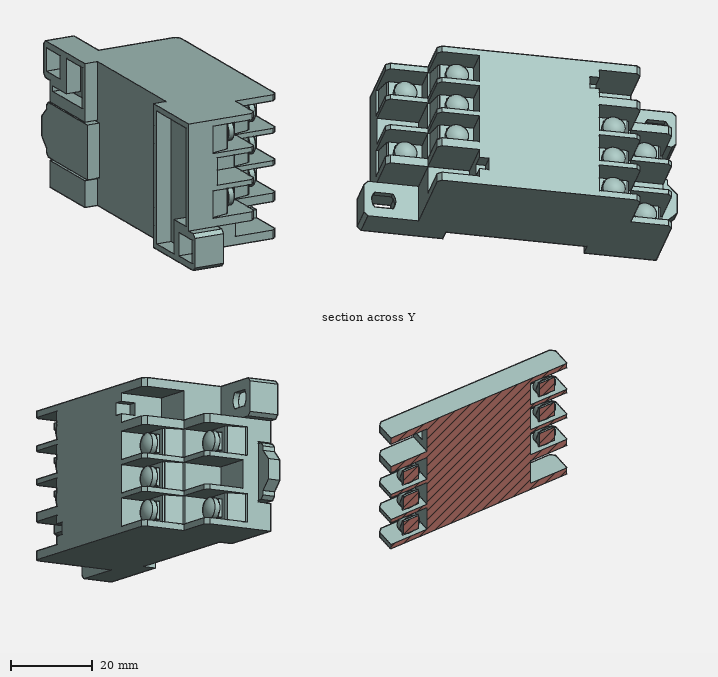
import cadquery as cq


LENGTH = 79.2
HEIGHT = 30.0
WIDTH = 37.0

TIER_STEP = 11.5
TIER_DEPTH = 10.4
LOW_TOP = HEIGHT - TIER_STEP
EAR_REACH = 3.25
LOW_LEFT = 4.5
LOW_RIGHT = LENGTH - EAR_REACH
HIGH_LEFT = LOW_LEFT + TIER_DEPTH
HIGH_RIGHT = LOW_RIGHT - TIER_DEPTH
TIER_CHAMFER = 1.0

RAIL_LEFT = 22.6
RAIL_RIGHT = 57.8
RAIL_DEPTH = 3.5

EAR_HEIGHT = 7.9
EAR_WIDTH = 9.5
EAR_CHAMFER = 0.95
LEFT_EAR_TIP = LOW_LEFT - EAR_REACH
LEFT_EAR_BOTTOM = WIDTH - EAR_WIDTH
EAR_POCKET_LENGTH = 6.9
EAR_POCKET_WIDTH = 6.0
EAR_POCKET_DEPTH = 6.3
EAR_POCKET_OFFSET = 4.9
EAR_POCKET_EDGE = 4.7
HOLE_LENGTH = 6.0
HOLE_FLAT_WIDTH = 4.0

HOLLOW_DEPTH = 3.95
WALL = 1.4

LATCH_GAP = 0.5
LATCH_BOTTOM = 7.4
LATCH_TOP = 21.5
LATCH_END = 23.5
LATCH_FACE = 0.15
LATCH_NOSE_BACK = 2.45
LATCH_NOSE_HALF = 2.5
LATCH_NOSE_SLOPE = 2.45
LATCH_CHAMFER = 0.95

HOOK_REACH = 1.9
HOOK_TOP = 1.9
HOOK_TIP = 1.0
HOOK_WIDTH = 4.6
HOOK_BOTTOMS = (5.7, 26.7)

BAY_WIDTH = 7.05
BAY_PITCH = 8.3
BAY_BOTTOM = 1.6
BAY_DROP = 11.8
SILL_RISE = 0.2
RAMP_FOOT = 0.55
RAMP_HEAD = 1.6
PLATE_SETBACK = 2.0
PLATE_TOP_DROP = 6.65
PLATE_THICKNESS = 0.5

BAY_BOTTOMS = [BAY_BOTTOM + BAY_PITCH * i for i in range(3)]
MIDDLE_BAY_BOTTOM = BAY_BOTTOMS[1]
TERMINALS = [(HIGH_LEFT, HEIGHT, z) for z in BAY_BOTTOMS]
TERMINALS += [(LOW_LEFT, LOW_TOP, z) for z in BAY_BOTTOMS if z != MIDDLE_BAY_BOTTOM]

SCREW_SETBACK = 5.8
NECK_SIDE = 4.5
NECK_HEIGHT = 0.9
HEAD_DIAMETER = 5.6
HEAD_RIM = 1.4
DOME_HEIGHT = 1.1

BLANK_BOTTOM = LEFT_EAR_BOTTOM
BLANK_TOP = 34.8
NOTCH_BOTTOM = 29.6
NOTCH_WIDTH = 3.1
NOTCH_DROP = 3.9
NOTCH_DEPTH = 2.4


def block(x0, x1, y0, y1, z0, z1):
    """Box between two opposite corners."""
    return cq.Workplane("XY").box(x1 - x0, y1 - y0, z1 - z0, centered=False).translate((x0, y0, z0))


def prism_along_y(points, y0, y1):
    """Extrude an outline given in (x, z) from y0 to y1."""
    return cq.Workplane("XZ", origin=(0, y0, 0)).polyline(points).close().extrude(y0 - y1)


def prism_along_z(points, z0, z1):
    """Extrude an outline given in (x, y) from z0 to z1."""
    return cq.Workplane("XY", origin=(0, 0, z0)).polyline(points).close().extrude(z1 - z0)


def body():
    """Two-tier block with the rail channel."""
    c = TIER_CHAMFER
    outline = [
        (LOW_LEFT, 0),
        (LOW_LEFT, LOW_TOP - c),
        (LOW_LEFT + c, LOW_TOP),
        (HIGH_LEFT, LOW_TOP),
        (HIGH_LEFT, HEIGHT - c),
        (HIGH_LEFT + c, HEIGHT),
        (HIGH_RIGHT - c, HEIGHT),
        (HIGH_RIGHT, HEIGHT - c),
        (HIGH_RIGHT, LOW_TOP),
        (LOW_RIGHT - c, LOW_TOP),
        (LOW_RIGHT, LOW_TOP - c),
        (LOW_RIGHT, 0),
        (RAIL_RIGHT, 0),
        (RAIL_RIGHT, RAIL_DEPTH),
        (RAIL_LEFT, RAIL_DEPTH),
        (RAIL_LEFT, 0),
    ]
    return prism_along_z(outline, 0, WIDTH)


def ear(tip, root, z0):
    """Mounting ear with its two tip corners chamfered."""
    c = EAR_CHAMFER if tip > root else -EAR_CHAMFER
    z1 = z0 + EAR_WIDTH
    outline = [
        (root, z0),
        (tip - c, z0),
        (tip, z0 + EAR_CHAMFER),
        (tip, z1 - EAR_CHAMFER),
        (tip - c, z1),
        (root, z1),
    ]
    return prism_along_y(outline, 0, EAR_HEIGHT)


def ear_opening(x, z):
    """Rectangular pocket from below, ending in a round hole with two flats."""
    half_length = EAR_POCKET_LENGTH / 2
    half_width = EAR_POCKET_WIDTH / 2
    pocket = block(x - half_length, x + half_length, 0, EAR_POCKET_DEPTH, z - half_width, z + half_width)
    hole = cq.Workplane("XZ", origin=(x, 0, z)).circle(HOLE_LENGTH / 2).extrude(-EAR_HEIGHT)
    half_flat = HOLE_FLAT_WIDTH / 2
    band = block(x - HOLE_LENGTH, x + HOLE_LENGTH, 0, EAR_HEIGHT, z - half_flat, z + half_flat)
    return pocket.union(hole.intersect(band))


def left_hollow():
    """L-shaped hollow wrapping round the left ear pocket."""
    inner, step, outer = 21.15, 13.0, LOW_LEFT + WALL
    bottom, ledge, top = 25.0, 26.45, WIDTH - WALL
    outline = [(outer, bottom), (inner, bottom), (inner, top), (step, top), (step, ledge), (outer, ledge)]
    return prism_along_y(outline, 0, HOLLOW_DEPTH)


def right_hollow():
    """L-shaped hollow wrapping round the right ear pocket."""
    inner, step, outer = 59.5, 68.35, LOW_RIGHT - WALL
    bottom, ledge, top = WALL, 10.3, WIDTH - WALL
    outline = [(inner, bottom), (step, bottom), (step, ledge), (outer, ledge), (outer, top), (inner, top)]
    return prism_along_y(outline, 0, HOLLOW_DEPTH)


def latch_slot():
    """Clearance slot in the left foot around the latch."""
    return block(0, RAIL_LEFT, 0, RAIL_DEPTH, LATCH_BOTTOM - LATCH_GAP, LATCH_TOP + LATCH_GAP)


def latch():
    """Rail latch plate with a tapered nose at the left end."""
    middle = (LATCH_BOTTOM + LATCH_TOP) / 2
    half = (LATCH_TOP - LATCH_BOTTOM) / 2
    shoulder = LATCH_NOSE_BACK + LATCH_CHAMFER
    upper = [
        (0, LATCH_NOSE_HALF),
        (LATCH_NOSE_BACK, LATCH_NOSE_HALF + LATCH_NOSE_SLOPE),
        (LATCH_NOSE_BACK, half - LATCH_CHAMFER),
        (shoulder, half),
        (LATCH_END, half),
    ]
    outline = [(x, middle + z) for x, z in upper] + [(x, middle - z) for x, z in reversed(upper)]
    return prism_along_y(outline, LATCH_FACE, RAIL_DEPTH)


def hook(z0):
    """Wedge hook on the right foot that grips the rail."""
    tip = RAIL_RIGHT - HOOK_REACH
    outline = [(RAIL_RIGHT, 0), (RAIL_RIGHT, HOOK_TOP), (tip, HOOK_TOP), (tip, HOOK_TIP)]
    return prism_along_z(outline, z0, z0 + HOOK_WIDTH)


def terminal_bay(front, top, z0):
    """Space of one terminal bay, above its ramp and contact plate."""
    back = front + TIER_DEPTH
    floor = top - BAY_DROP
    plate_top = top - PLATE_TOP_DROP
    plate_bottom = plate_top - PLATE_THICKNESS
    outline = [
        (front, floor),
        (front + RAMP_FOOT, floor + SILL_RISE),
        (front + RAMP_HEAD, plate_bottom),
        (front + PLATE_SETBACK, plate_bottom),
        (front + PLATE_SETBACK, plate_top),
        (back, plate_top),
        (back, top),
        (front, top),
    ]
    return prism_along_z(outline, z0, z0 + BAY_WIDTH)


def screw(front, top, z0):
    """Domed screw head on a square neck, standing on the contact plate of a bay."""
    radius = HEAD_DIAMETER / 2
    rim_top = NECK_HEIGHT + HEAD_RIM
    sphere = (radius**2 + DOME_HEIGHT**2) / (2 * DOME_HEIGHT)
    mid_radius = radius / 2
    mid_height = rim_top + DOME_HEIGHT - sphere + (sphere**2 - mid_radius**2) ** 0.5
    profile = (
        cq.Workplane("XY")
        .moveTo(0, NECK_HEIGHT)
        .lineTo(radius, NECK_HEIGHT)
        .lineTo(radius, rim_top)
        .threePointArc((mid_radius, mid_height), (0, rim_top + DOME_HEIGHT))
        .close()
    )
    place = (front + SCREW_SETBACK, top - PLATE_TOP_DROP, z0 + BAY_WIDTH / 2)
    head = profile.revolve(360, (0, 0, 0), (0, 1, 0))
    half_neck = NECK_SIDE / 2
    neck = block(-half_neck, half_neck, 0, NECK_HEIGHT, -half_neck, half_neck)
    return neck.union(head).translate(place)


def blank_bay():
    """Empty upper bay beside the terminals with a notch in its back wall."""
    back = HIGH_LEFT + TIER_DEPTH
    bay = block(HIGH_LEFT, back, LOW_TOP, HEIGHT, BLANK_BOTTOM, BLANK_TOP)
    notch_top = NOTCH_BOTTOM + NOTCH_WIDTH
    notch = block(back, back + NOTCH_DEPTH, HEIGHT - NOTCH_DROP, HEIGHT, NOTCH_BOTTOM, notch_top)
    return bay.union(notch)


def end_recesses():
    """Everything cut from the left end: ear clearance, terminal bays and plain bays."""
    recesses = block(LOW_LEFT, HIGH_LEFT, EAR_HEIGHT, LOW_TOP, LEFT_EAR_BOTTOM, WIDTH)
    for terminal in TERMINALS:
        recesses = recesses.union(terminal_bay(*terminal))
    middle_top = MIDDLE_BAY_BOTTOM + BAY_WIDTH
    empty_bay = block(LOW_LEFT, HIGH_LEFT, EAR_HEIGHT, LOW_TOP, MIDDLE_BAY_BOTTOM, middle_top)
    return recesses.union(empty_bay).union(blank_bay())


def opposite_end(shape):
    """Turn a left-end shape half round about the vertical axis of the body."""
    middle_x = (LOW_LEFT + LOW_RIGHT) / 2
    middle_z = WIDTH / 2
    return shape.rotate((middle_x, 0, middle_z), (middle_x, 1, middle_z), 180)


result = body()
result = result.union(ear(LEFT_EAR_TIP, LOW_LEFT, LEFT_EAR_BOTTOM))
result = result.union(ear(LENGTH, LOW_RIGHT, 0))
result = result.cut(ear_opening(LEFT_EAR_TIP + EAR_POCKET_OFFSET, WIDTH - EAR_POCKET_EDGE))
result = result.cut(ear_opening(LENGTH - EAR_POCKET_OFFSET, EAR_POCKET_EDGE))
result = result.cut(left_hollow()).cut(right_hollow())
result = result.cut(latch_slot()).union(latch())
for hook_bottom in HOOK_BOTTOMS:
    result = result.union(hook(hook_bottom))

for end in (lambda shape: shape, opposite_end):
    result = result.cut(end(end_recesses()))
    for terminal in TERMINALS:
        result = result.union(end(screw(*terminal)))